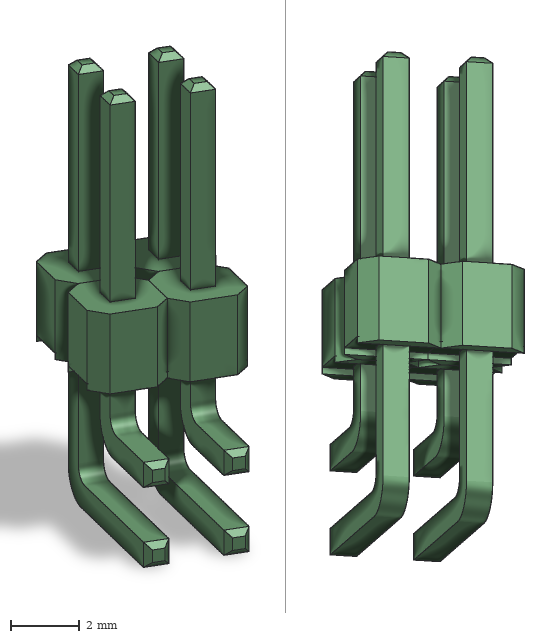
import cadquery as cq


pitch = 2.54
rows = 2
pins_per_row = 2
housing_height = 2.54
flat_width = 1.5
corner_cut = (pitch - flat_width) / 2
groove_depth = 0.2

pin_width = 0.8
half_pin = pin_width / 2
tip_length = 0.2
tip_inset = 0.2
outer_bend_radius = 1.0
inner_bend_radius = 0.5
pin_top = 9.0
pin_bottom = -4.88
leg_reach = 2.0
pin_end_x = rows * pitch / 2 + leg_reach


def make_housing(x, y):
    """Octagonal block with a groove along Y underneath and a square hole for its pin."""
    block = cq.Workplane("XY").rect(pitch, pitch).extrude(housing_height)
    block = block.edges("|Z").chamfer(corner_cut)
    groove = cq.Workplane("XY").rect(flat_width, pitch).extrude(groove_depth)
    pin_hole = cq.Workplane("XY").rect(pin_width, pin_width).extrude(housing_height)
    return block.cut(groove).cut(pin_hole).translate((x, y, 0))


def make_tip(plane):
    """Tapered square end that grows along the normal of the given plane."""
    tip_width = pin_width - 2 * tip_inset
    return (
        cq.Workplane(plane)
        .rect(pin_width, pin_width)
        .workplane(offset=tip_length)
        .rect(tip_width, tip_width)
        .loft(ruled=True)
    )


def make_pin(x, y, leg_bottom):
    """Square pin that goes down through the housing and bends towards +X."""
    left = x - half_pin
    right = x + half_pin
    leg_top = leg_bottom + pin_width
    shank_top = pin_top - tip_length
    leg_end = pin_end_x - tip_length

    bar = (
        cq.Workplane("XZ", origin=(0, y, 0))
        .moveTo(left, shank_top)
        .lineTo(left, leg_bottom + outer_bend_radius)
        .radiusArc((left + outer_bend_radius, leg_bottom), -outer_bend_radius)
        .lineTo(leg_end, leg_bottom)
        .lineTo(leg_end, leg_top)
        .lineTo(right + inner_bend_radius, leg_top)
        .radiusArc((right, leg_top + inner_bend_radius), inner_bend_radius)
        .lineTo(right, shank_top)
        .close()
        .extrude(half_pin, both=True)
    )
    upper_tip = make_tip(cq.Plane((x, y, shank_top), xDir=(1, 0, 0), normal=(0, 0, 1)))
    leg_axis_z = leg_bottom + half_pin
    leg_tip = make_tip(cq.Plane((leg_end, y, leg_axis_z), xDir=(0, 1, 0), normal=(1, 0, 0)))
    return bar.union(upper_tip).union(leg_tip)


housings = []
pins = []
for row in range(rows):
    x = (row - (rows - 1) / 2) * pitch
    leg_bottom = pin_bottom + row * pitch
    for place in range(pins_per_row):
        y = (place - (pins_per_row - 1) / 2) * pitch
        housings.append(make_housing(x, y).solids().val())
        pins.append(make_pin(x, y, leg_bottom).solids().val())

result = cq.Compound.makeCompound([*housings, *pins])